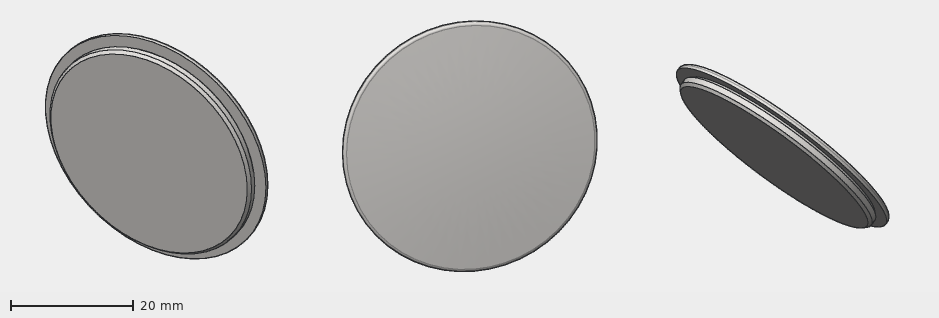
import cadquery as cq
import math

flange_radius = 21.2
total_depth = 4.0

plug_radius = 19.38
plug_depth = 2.05
plug_chamfer = 0.5

flange_thickness = 1.0
rim_round = 0.5
flange_back = plug_depth + flange_thickness

dome_base_radius = flange_radius - rim_round
dome_height = total_depth - flange_back
dome_sphere_radius = (dome_base_radius**2 + dome_height**2) / (2 * dome_height)

dome_mid_radius = dome_base_radius / 2
dome_mid_drop = dome_sphere_radius - math.sqrt(dome_sphere_radius**2 - dome_mid_radius**2)


def make_plug():
    """Flat disc chamfered at its front and back edges."""
    disc = cq.Workplane("XZ").circle(plug_radius).extrude(-plug_depth)
    return disc.faces("<Y or >Y").chamfer(plug_chamfer)


def make_flange():
    """Thin disc with a rounded back rim and a shallow domed back."""
    profile = (
        cq.Workplane("XY")
        .moveTo(0, plug_depth)
        .lineTo(flange_radius, plug_depth)
        .lineTo(flange_radius, flange_back - rim_round)
        .radiusArc((dome_base_radius, flange_back), -rim_round)
        .threePointArc((dome_mid_radius, total_depth - dome_mid_drop), (0, total_depth))
        .close()
    )
    return profile.revolve(360, (0, 0, 0), (0, 1, 0))


result = make_plug().union(make_flange())